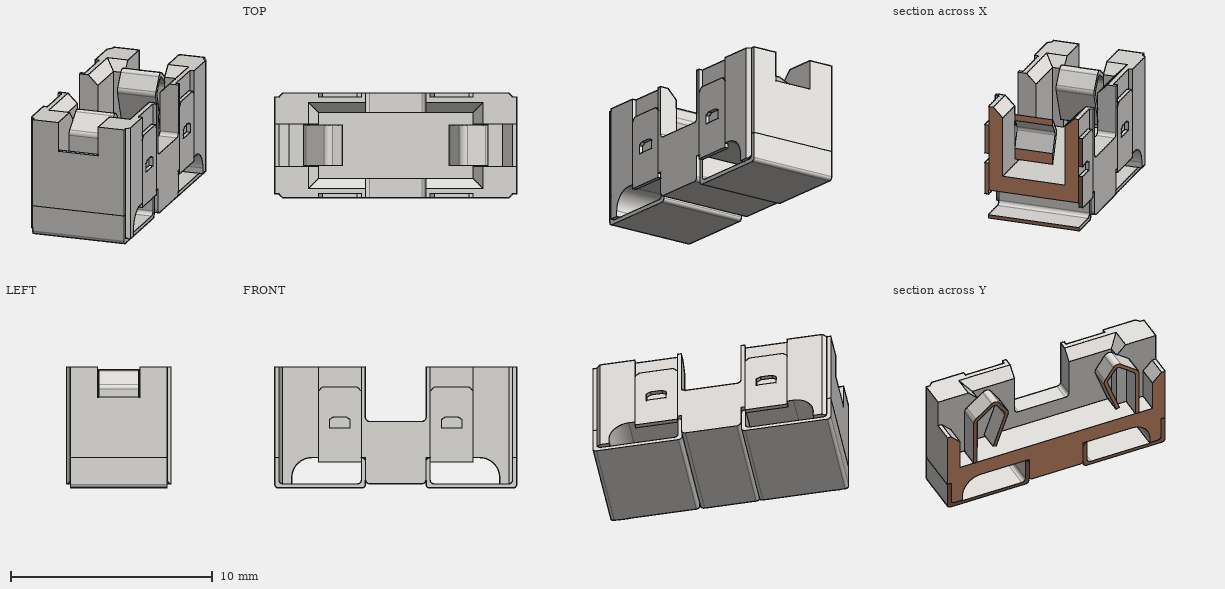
import cadquery as cq
import math

LENGTH = 12.0
WIDTH = 5.2
HEIGHT = 6.0
SHEET = 0.2

WAIST_LENGTH = 3.0
WAIST_TOP = 3.3
EDGE_RADIUS = 0.2
CORNER_CHAMFER = 0.19
CAVITY_LENGTH = 7.65
CAVITY_WIDTH = 3.26
CAVITY_FLOOR = 2.38
LEAD_IN = 0.5
SLOT_WIDTH = 2.1
NOTCH_DEPTH = 1.5
ARCH_RADIUS = 1.0
ARCH_WALL = 0.65

CLIP_WIDTH = 4.8
CLIP_HEIGHT = 1.5
CLIP_BEND = 0.18
CLIP_TIP_RADIUS = 0.18

PLATE_LENGTH = 2.14
PLATE_TOP = 5.0
PLATE_BOTTOM = 1.28
PLATE_CHAMFER = 0.2
WINDOW_LENGTH = 1.01
WINDOW_BOTTOM = 2.96
WINDOW_HEIGHT = 0.56
WINDOW_BEVEL_X = 0.22
WINDOW_BEVEL_Z = 0.13

SPRING_WIDTH = 2.0
SPRING_BEND = 0.3
SPRING_INNER_BEND = 0.2
SPRING_BACK = 4.56
SPRING_SHOULDER = 5.04
SPRING_CREST = (3.31, 6.0)
SPRING_NOSE = (2.59, 4.95)
SPRING_TAIL = (3.3, 3.0)

HALF_LENGTH = LENGTH / 2
HALF_WAIST = WAIST_LENGTH / 2
NOTCH_FLOOR = HEIGHT - NOTCH_DEPTH
BODY_END = HALF_LENGTH - SHEET
PLATE_END = HALF_WAIST + SHEET
PLATE_CENTER = PLATE_END + PLATE_LENGTH / 2
PLATE_MIDDLE = (WIDTH - SHEET) / 2
OVERCUT = 0.12
TOLERANCE = 0.001


def mirror_x(points):
    """Mirror profile points across the middle plane of the part."""
    return [(-x, z) for x, z in points]


def extrude_across(points, width):
    """Extrude a closed XZ profile symmetrically about Y = 0."""
    return cq.Workplane("XZ").polyline(points).close().extrude(width / 2, both=True)


def round_corners(wire, corners, radius):
    """Round the corners of a planar wire that lie at the given XZ points."""
    vertices = [
        vertex for vertex in wire.Vertices()
        if any(math.dist((vertex.X, vertex.Z), corner) < TOLERANCE for corner in corners)
    ]
    return wire.fillet2D(radius, vertices)


def offset_corners(path, distance):
    """Shift an open XZ path to its left by a distance, keeping sharp corners."""
    normals = []
    for (x0, z0), (x1, z1) in zip(path, path[1:]):
        length = math.dist((x0, z0), (x1, z1))
        normals.append((-(z1 - z0) / length, (x1 - x0) / length))
    before = [normals[0]] + normals
    after = normals + [normals[-1]]
    shifted = []
    for (x, z), (ax, az), (bx, bz) in zip(path, before, after):
        reach = distance / (1 + ax * bx + az * bz)
        shifted.append((x + reach * (ax + bx), z + reach * (az + bz)))
    return shifted


def bent_strip(path, outer_radius, inner_radius, width):
    """Sheet strip whose outer side follows the path, thickness to the left of it."""
    inner = offset_corners(path, SHEET)
    outline = [cq.Vector(x, 0, z) for x, z in path + inner[::-1]]
    wire = cq.Wire.makePolygon(outline, close=True)
    wire = round_corners(wire, path[1:-1], outer_radius)
    wire = round_corners(wire, inner[1:-1], inner_radius)
    start = wire.translate(cq.Vector(0, -width / 2, 0))
    return cq.Workplane(obj=cq.Solid.extrudeLinear(start, [], cq.Vector(0, width, 0)))


def housing_block():
    """Full block with chamfered upright corners and a raised end face above each clip."""
    block_height = HEIGHT - SHEET
    block = cq.Workplane("XY").box(2 * BODY_END, WIDTH, block_height, centered=(True, True, False))
    block = block.edges("|Z").chamfer(CORNER_CHAMFER)
    block = block.translate((0, 0, SHEET)).edges("|Y and <Z").fillet(EDGE_RADIUS)
    end_height = HEIGHT - CLIP_HEIGHT
    ends = cq.Workplane("XY").workplane(offset=CLIP_HEIGHT).rect(LENGTH, CLIP_WIDTH).extrude(end_height)
    return block.union(ends)


def waist_opening():
    """Gap above the lowered middle of the long walls, with rounded bottom corners."""
    opening = cq.Workplane("XY").box(WAIST_LENGTH, WIDTH + OVERCUT, HEIGHT, centered=(True, True, False))
    return opening.edges("|Y and <Z").fillet(EDGE_RADIUS).translate((0, 0, WAIST_TOP))


def cavity():
    """Central pocket with a 45 degree lead-in around its mouth."""
    depth = HEIGHT - CAVITY_FLOOR
    pocket = (
        cq.Workplane("XY").workplane(offset=CAVITY_FLOOR)
        .rect(CAVITY_LENGTH, CAVITY_WIDTH).extrude(depth)
    )
    mouth = (
        cq.Workplane("XY").workplane(offset=HEIGHT - LEAD_IN)
        .rect(CAVITY_LENGTH, CAVITY_WIDTH)
        .workplane(offset=LEAD_IN)
        .rect(CAVITY_LENGTH + 2 * LEAD_IN, CAVITY_WIDTH + 2 * LEAD_IN)
        .loft(ruled=True)
    )
    return pocket.union(mouth)


def spring_slot():
    """Slot along X through both end walls, with a ramp below each end notch."""
    ramp_foot = BODY_END - LEAD_IN
    right_side = [
        (ramp_foot, CAVITY_FLOOR),
        (ramp_foot, NOTCH_FLOOR - LEAD_IN),
        (BODY_END, NOTCH_FLOOR),
        (HALF_LENGTH + OVERCUT, NOTCH_FLOOR),
        (HALF_LENGTH + OVERCUT, HEIGHT + OVERCUT),
    ]
    return extrude_across(right_side + mirror_x(right_side)[::-1], SLOT_WIDTH)


def clip_tunnel(side):
    """Passage along Y between the clip floor and the underside of the housing."""
    post = BODY_END - ARCH_WALL
    inset = ARCH_RADIUS * (1 - math.sqrt(0.5))
    return (
        cq.Workplane("XZ")
        .moveTo(side * HALF_WAIST, 0)
        .lineTo(side * HALF_WAIST, CLIP_HEIGHT)
        .lineTo(side * (post - ARCH_RADIUS), CLIP_HEIGHT)
        .threePointArc(
            (side * (post - inset), CLIP_HEIGHT - inset),
            (side * post, CLIP_HEIGHT - ARCH_RADIUS),
        )
        .lineTo(side * post, 0)
        .close()
        .extrude(WIDTH, both=True)
    )


def plate_recess(side, face):
    """Recess that takes one plate and runs from the tunnel up to the top."""
    recess = cq.Workplane("XY").box(PLATE_LENGTH, SHEET, HEIGHT, centered=(True, True, False))
    return recess.translate((side * PLATE_CENTER, face * PLATE_MIDDLE, 0))


def make_housing():
    body = housing_block().cut(waist_opening()).cut(cavity()).cut(spring_slot())
    for side in (-1, 1):
        body = body.cut(clip_tunnel(side))
        for face in (-1, 1):
            body = body.cut(plate_recess(side, face))
    waist_corners = cq.selectors.BoxSelector(
        (-HALF_WAIST - TOLERANCE, -WIDTH, SHEET - TOLERANCE),
        (HALF_WAIST + TOLERANCE, WIDTH, SHEET + TOLERANCE),
    )
    return body.edges("|Y").edges(waist_corners).fillet(EDGE_RADIUS)


def make_clip(side):
    """U-shaped clip under one end: outer leg, floor and inner leg."""
    path = [
        (-HALF_LENGTH, CLIP_HEIGHT),
        (-HALF_LENGTH, 0),
        (-HALF_WAIST, 0),
        (-HALF_WAIST, CLIP_HEIGHT),
    ]
    clip = bent_strip(path, CLIP_BEND, EDGE_RADIUS, CLIP_WIDTH)
    clip = clip.edges("|Y").edges(">X").edges(">Z").fillet(CLIP_TIP_RADIUS)
    return clip if side < 0 else clip.mirror("YZ")


def make_spring(side):
    """Bent strip that stands on the cavity floor and bulges into the cavity."""
    path = [
        (SPRING_BACK, CAVITY_FLOOR),
        (SPRING_BACK, SPRING_SHOULDER),
        SPRING_CREST,
        SPRING_NOSE,
        SPRING_TAIL,
    ]
    spring = bent_strip(path, SPRING_BEND, SPRING_INNER_BEND, SPRING_WIDTH)
    return spring if side > 0 else spring.mirror("YZ")


def make_plate(side, face):
    """Side plate with chamfered top corners and a bevelled window."""
    height = PLATE_TOP - PLATE_BOTTOM
    plate = cq.Workplane("XY").box(PLATE_LENGTH, SHEET, height, centered=(True, True, False))
    plate = plate.edges("|Y and >Z").chamfer(PLATE_CHAMFER).translate((0, 0, PLATE_BOTTOM))
    window_top = WINDOW_BOTTOM + WINDOW_HEIGHT
    half_window = WINDOW_LENGTH / 2
    right_side = [
        (half_window, WINDOW_BOTTOM),
        (half_window, window_top - WINDOW_BEVEL_Z),
        (half_window - WINDOW_BEVEL_X, window_top),
    ]
    plate = plate.cut(extrude_across(right_side + mirror_x(right_side)[::-1], WIDTH))
    return plate.translate((side * PLATE_CENTER, face * PLATE_MIDDLE, 0))


housing = make_housing()
clips = [make_clip(side) for side in (-1, 1)]
springs = [make_spring(side) for side in (-1, 1)]
plates = [make_plate(side, face) for side in (-1, 1) for face in (-1, 1)]

bodies = [housing] + clips + springs + plates
result = cq.Compound.makeCompound([body.solids().val() for body in bodies])